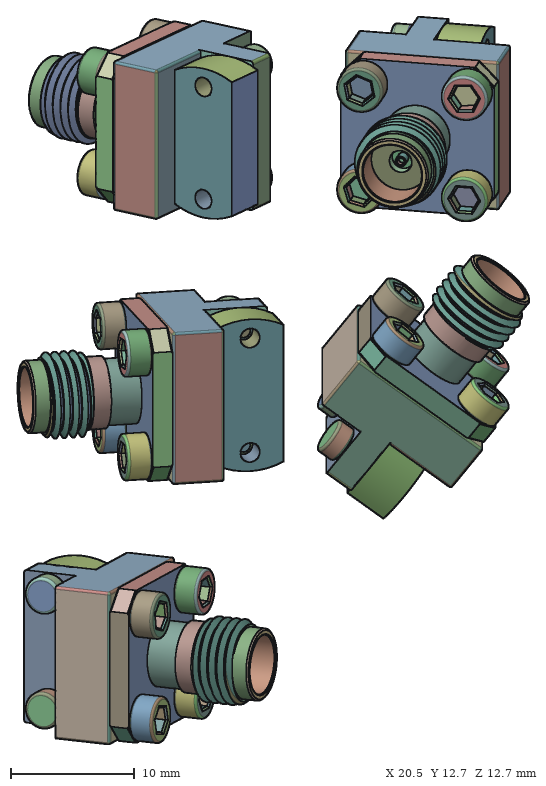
import cadquery as cq
import math


side = 12.7
half_side = side / 2

flange_thickness = 1.67
flange_corner_cut = 1.56
flange_edge_break = 0.1
barrel_length = 9.0
barrel_radius = 2.95
barrel_edge_break = 0.14
neck_radius = 2.71
neck_length = 2.58
bore_radius = 2.42
bore_depth = 3.0
bore_edge_break = 0.08
air_line_radius = 0.925
air_line_depth = 1.0
contact_radius = 0.43
contact_hole_radius = 0.3
contact_hole_depth = 0.6
flange_front = -flange_thickness
barrel_tip = flange_front - barrel_length

thread_radius = 3.52
thread_pitch = 0.75
thread_ridge_width = 0.98 * thread_pitch
thread_root_embed = 0.05
thread_start = barrel_tip + 1.36
thread_end = barrel_tip + 4.93
thread_end_chamfer = 0.38
thread_crest_above_axis = barrel_tip + 1.90

screw_offset = 4.335
screw_head_radius = 1.9
screw_head_height = 2.0
screw_front_round = 0.2
screw_seat_round = 0.14
screw_shank_radius = 1.0
screw_shank_length = 4.0
socket_flats = 2.0
socket_depth = 1.2
socket_edge_break = 0.16
flange_screw_places = [(1, 1, 19), (-1, 1, -5), (1, -1, 13), (-1, -1, 0)]

block_round = 0.2
block_front_depth = 4.28
block_rear_depth = 4.81
tongue_end = 9.38
tongue_front = -0.05
tongue_rear = 2.43
tongue_end_round = 0.25

clamp_thickness = 3.7
clamp_half_width = 2.78
clamp_x = block_front_depth + clamp_half_width
clamp_screw_offset = 4.78
clamp_shank_radius = 0.8
clamp_shank_length = 4.0
clamp_tip_break = 0.27
clamp_head_radius = 1.53
clamp_head_height = 1.58
clamp_head_round = 0.24


def rod_x(radius, x_start, x_end, y=0.0, z=0.0):
    """Round bar along X."""
    plane = cq.Workplane("YZ").workplane(offset=x_start)
    return plane.center(y, z).circle(radius).extrude(x_end - x_start)


def rod_y(radius, y_start, y_end, x, z):
    """Round bar along Y."""
    plane = cq.Workplane("XZ", origin=(x, y_start, z))
    return plane.circle(radius).extrude(y_start - y_end)


def box(x_range, y_range, z_range):
    """Box between pairs of limits."""
    sizes = [limits[1] - limits[0] for limits in (x_range, y_range, z_range)]
    corner = cq.Vector(x_range[0], y_range[0], z_range[0])
    return cq.Workplane(cq.Solid.makeBox(*sizes, corner))


def make_thread():
    """Sharp right-hand thread ridge, chamfered at both ends."""
    root_radius = barrel_radius - thread_root_embed
    turns_before = math.ceil((thread_crest_above_axis - thread_start) / thread_pitch) + 1
    helix_start = thread_crest_above_axis - turns_before * thread_pitch
    helix_length = thread_end + 2 * thread_pitch - helix_start
    helix = cq.Wire.makeHelix(thread_pitch, helix_length, barrel_radius)
    half_ridge = thread_ridge_width / 2
    ridge = (
        cq.Workplane("XZ")
        .moveTo(root_radius, -half_ridge)
        .lineTo(thread_radius, 0)
        .lineTo(root_radius, half_ridge)
        .close()
        .sweep(cq.Workplane(helix), isFrenet=True)
    )
    ridge = ridge.rotate((0, 0, 0), (0, 1, 0), 90)
    ridge = ridge.rotate((0, 0, 0), (1, 0, 0), 180)
    ridge = ridge.translate((helix_start, 0, 0))
    envelope = rod_x(thread_radius, thread_start, thread_end).edges().chamfer(thread_end_chamfer)
    return ridge.intersect(envelope)


def make_flange():
    """Square plate with cut corners whose edges are broken."""
    flange = box((flange_front, 0), (-half_side, half_side), (-half_side, half_side))
    flange = flange.edges("|X").chamfer(flange_corner_cut)
    for y_side in (-1, 1):
        for z_side in (-1, 1):
            direction = cq.Vector(0, y_side, z_side)
            corner_face = flange.faces(cq.selectors.DirectionMinMaxSelector(direction))
            flange = corner_face.edges("not |X").chamfer(flange_edge_break)
    return flange


def make_connector():
    neck_start = flange_front - neck_length
    barrel = rod_x(barrel_radius, barrel_tip, neck_start)
    barrel = barrel.faces("<X").edges().chamfer(barrel_edge_break)
    connector = make_flange()
    connector = connector.union(rod_x(neck_radius, neck_start, flange_front))
    connector = connector.union(barrel).union(make_thread())

    bore_floor = barrel_tip + bore_depth
    bore = rod_x(bore_radius, barrel_tip, bore_floor)
    bore_lead_in = (
        cq.Workplane("YZ")
        .workplane(offset=barrel_tip)
        .circle(bore_radius + bore_edge_break)
        .extrude(bore_edge_break, taper=45)
    )
    air_line = rod_x(air_line_radius, bore_floor, bore_floor + air_line_depth)
    contact = rod_x(contact_radius, bore_floor, bore_floor + air_line_depth)
    contact_hole = rod_x(contact_hole_radius, bore_floor, bore_floor + contact_hole_depth)
    contact_hole_end = cq.Workplane(
        cq.Solid.makeCone(
            contact_hole_radius,
            0,
            contact_hole_radius,
            cq.Vector(bore_floor + contact_hole_depth, 0, 0),
            cq.Vector(1, 0, 0),
        )
    )
    connector = connector.cut(bore).cut(bore_lead_in).cut(air_line.cut(contact))
    connector = connector.cut(contact_hole).cut(contact_hole_end)
    for y_side, z_side, _ in flange_screw_places:
        connector = connector.cut(flange_screw_shank(y_side, z_side))
    return connector


def flange_screw_shank(y_side, z_side):
    """Screw shank, which is also the space that its hole takes up."""
    shank_end = flange_front + screw_shank_length
    y = y_side * screw_offset
    z = z_side * screw_offset
    return rod_x(screw_shank_radius, flange_front, shank_end, y, z)


def make_flange_screw(y_side, z_side, socket_turn):
    """Round-edged cap screw with a hexagon socket chamfered at its mouth."""
    y = y_side * screw_offset
    z = z_side * screw_offset
    head_front = flange_front - screw_head_height
    flats_to_corners = 1 / math.cos(math.radians(30))
    mouth_flats = socket_flats + 2 * socket_edge_break
    head = rod_x(screw_head_radius, head_front, flange_front, y, z)
    head = head.faces("<X").edges().fillet(screw_front_round)
    head = head.faces(">X").edges().fillet(screw_seat_round)
    head_plane = cq.Workplane("YZ", origin=(head_front, y, z))
    socket = head_plane.polygon(6, socket_flats * flats_to_corners).extrude(socket_depth)
    mouth = head_plane.polygon(6, mouth_flats * flats_to_corners).extrude(socket_edge_break, taper=45)
    socket = socket.union(mouth).rotate((0, y, z), (1, y, z), socket_turn)
    return head.cut(socket).union(flange_screw_shank(y_side, z_side))


def make_block():
    """T-shaped block: a square body and a tongue behind it."""
    full = (-half_side, half_side)
    front_part = box((0, block_front_depth), full, full)
    front_part = front_part.edges().fillet(block_round)
    rear_body = box((0, block_rear_depth), (tongue_front, half_side), full)
    rear_body = rear_body.edges("(<X or (|X and >Y)) and (not <Y)").fillet(block_round)
    tongue = box((block_front_depth, tongue_end), (tongue_front, tongue_rear), full)
    tongue = tongue.faces(">X").edges("|Y").fillet(tongue_end_round)
    block = front_part.union(rear_body).union(tongue)
    for y_side, z_side, _ in flange_screw_places:
        block = block.cut(flange_screw_shank(y_side, z_side))
    for z_side in (-1, 1):
        z = z_side * clamp_screw_offset
        block = block.cut(rod_y(clamp_shank_radius, tongue_front, tongue_rear, clamp_x, z))
    return block


def make_clamp_screw(z):
    """Cap screw that passes through the tongue into the clamp bar."""
    shank_tip = tongue_rear - clamp_shank_length
    shank = rod_y(clamp_shank_radius, shank_tip, tongue_rear, clamp_x, z)
    shank = shank.faces("<Y").edges().chamfer(clamp_tip_break)
    head = rod_y(clamp_head_radius, tongue_rear, tongue_rear + clamp_head_height, clamp_x, z)
    head = head.edges().fillet(clamp_head_round)
    return shank.union(head)


def make_clamp():
    """Bar with round ends, carrying its two screws as one solid."""
    clamp_front = tongue_front - clamp_thickness
    clamp = rod_y(half_side, clamp_front, tongue_front, clamp_x, 0)
    bar_width = (clamp_x - clamp_half_width, clamp_x + clamp_half_width)
    clamp = clamp.intersect(box(bar_width, (clamp_front, tongue_front), (-half_side, half_side)))
    for z_side in (-1, 1):
        z = z_side * clamp_screw_offset
        clamp = clamp.cut(rod_y(clamp_shank_radius, clamp_front, tongue_front, clamp_x, z))
        clamp = clamp.union(make_clamp_screw(z))
    return clamp


connector = make_connector()
block = make_block()
clamp = make_clamp()
flange_screws = [make_flange_screw(*place) for place in flange_screw_places]

result = cq.Compound.makeCompound(
    [connector.val(), block.val(), clamp.val(), *[screw.val() for screw in flange_screws]]
)